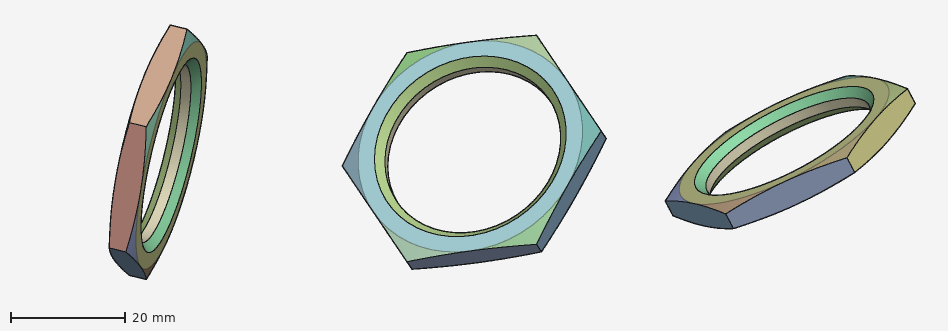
import cadquery as cq
import math

across_corners = 47.35
across_flats = across_corners * math.cos(math.radians(30))
thickness = 4.8
bore_diameter = 32.1
countersink_diameter = 35.05
countersink_depth = (countersink_diameter - bore_diameter) / 2
corner_chamfer_angle = 15.0

half_thickness = thickness / 2
corner_radius = across_corners / 2
flat_radius = across_flats / 2
bore_radius = bore_diameter / 2
countersink_radius = countersink_diameter / 2


def revolve_about_x(half_profile):
    """Revolve (x, radius) points around the X axis."""
    return cq.Workplane("XY").polyline(half_profile).close().revolve(360, (0, 0, 0), (1, 0, 0))


def hexagon_blank():
    return (
        cq.Workplane("YZ")
        .polygon(6, across_corners)
        .extrude(half_thickness, both=True)
    )


def chamfer_envelope():
    """Disc with conical rims that start at the inscribed circle of the hexagon."""
    rim_radius = corner_radius + 0.45
    rim_drop = (rim_radius - flat_radius) * math.tan(math.radians(corner_chamfer_angle))
    rim_x = half_thickness - rim_drop
    return revolve_about_x([
        (-half_thickness, 0),
        (-half_thickness, flat_radius),
        (-rim_x, rim_radius),
        (rim_x, rim_radius),
        (half_thickness, flat_radius),
        (half_thickness, 0),
    ])


def countersunk_bore():
    """Through bore flared at both end faces."""
    bore_end_x = half_thickness - countersink_depth
    return revolve_about_x([
        (-half_thickness, 0),
        (-half_thickness, countersink_radius),
        (-bore_end_x, bore_radius),
        (bore_end_x, bore_radius),
        (half_thickness, countersink_radius),
        (half_thickness, 0),
    ])


result = hexagon_blank().intersect(chamfer_envelope()).cut(countersunk_bore())